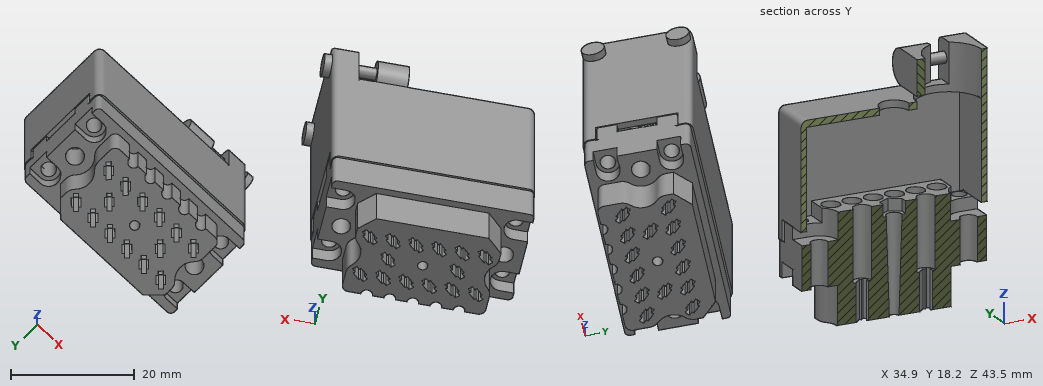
import cadquery as cq
import math


SIDES = (-1, 1)

HOOD_LENGTH = 33.65
HOOD_WIDTH = 18.15
HOOD_BOTTOM = 13.35
HOOD_TOP = 36.25
HOOD_ROUND = 1.25
HOOD_WALL = 1.1
HOOD_ROOF = 1.3
TAB_THICKNESS = 4.35
TAB_TOP = 43.45
JACK_ACCESS_RADIUS = 2.6
WINDOW_WIDTH = 13.65
WINDOW_TOP = 17.05

CABLE_RADIUS = 5.8
CABLE_X = 9.9
CLAMP_LEFT = 4.1
CLAMP_THICKNESS = 5.17
CLAMP_WIDTH = 17.85
CLAMP_HEIGHT = 6.35
CLAMP_HOLLOW_X = 11.35
SCREW_Y = 7.0
SCREW_RADIUS = 1.0
SCREW_HEAD_RADIUS = 1.9
SCREW_HEAD_HEIGHT = 1.25

FLANGE_LENGTH = 33.35
FLANGE_WIDTH = 17.5
FLANGE_BOTTOM = 6.9
FLANGE_ROUND = 0.83
WINDOW_CLEARANCE = 0.17
SHOULDER_WIDTH = WINDOW_WIDTH - 2 * WINDOW_CLEARANCE
SHOULDER_ROUND = 0.35
BLOCK_LENGTH = 23.3
BLOCK_TOP = 19.55
PLUG_LENGTH = 23.75
PLUG_WIDTH = 15.25
PLUG_ROUND = 1.17
PLUG_CHAMFER = 2.55
FLUTE_RADIUS = 0.95
FLUTE_COUNT = 5
KEYWAY_RADIUS = 3.17
KEYWAY_LIP_ROUND = 2.25

MOUNT_X = 13.47
MOUNT_RADIUS = 1.5
MOUNT_POCKET_RADIUS = 3.3
MOUNT_POCKET_FLOOR = 14.78
CORNER_X = 14.3
CORNER_Y = 5.25
CORNER_RADIUS = 1.25
CORNER_POCKET_RADIUS = 1.95
CORNER_POCKET_ROOF = 9.65

COLUMN_PITCH = 3.82
ROW_PITCH = 3.8
COLUMNS = (-2.5, -1.5, -0.5, 0.5, 1.5, 2.5)
FULL_COLUMN = 1.5
CONTACT_RADIUS = 1.6
CONTACT_SQUARE = 1.55
CONTACT_SLOT_LENGTH = 3.05
CONTACT_SLOT_WIDTH = 0.83
CONTACT_ANGLE = 45

JACK_HEX_FLATS = 4.0
JACK_HEX_DEPTH = 2.17
JACK_HEX_TURN = 30
JACK_CONE_RADIUS = 1.4
JACK_HOLE_RADIUS = 0.83

tab_front = HOOD_LENGTH / 2 - TAB_THICKNESS
screw_z = TAB_TOP - CLAMP_HEIGHT / 2


def block(x_range, width, z_range):
    """Box between two X and two Z positions, centred across Y."""
    length = x_range[1] - x_range[0]
    height = z_range[1] - z_range[0]
    return (
        cq.Workplane("XY")
        .box(length, width, height, centered=(False, True, False))
        .translate((x_range[0], 0, z_range[0]))
    )


def centred_block(length, width, z_range):
    """Box centred on the Z axis between two heights."""
    return block((-length / 2, length / 2), width, z_range)


def post(radius, x, y, z_range):
    """Upright cylinder between two heights."""
    height = z_range[1] - z_range[0]
    return cq.Workplane("XY", origin=(x, y, z_range[0])).circle(radius).extrude(height)


def rod(radius, y, x_range):
    """Cylinder along X at the height of the clamp screws."""
    length = x_range[1] - x_range[0]
    return cq.Workplane("YZ", origin=(x_range[0], y, screw_z)).circle(radius).extrude(length)


def end_pocket(end, radius, x, y, z_range):
    """Round-ended pocket that runs out through the -X (end = -1) or +X (end = 1) face of the insert."""
    run = FLANGE_LENGTH / 2 - x
    channel = block((x, x + run), 2 * radius, z_range).translate((0, y, 0))
    pocket = channel.union(post(radius, x, y, z_range))
    return pocket if end > 0 else pocket.mirror("YZ")


def make_hood_shell():
    body = block((-HOOD_LENGTH / 2, tab_front), HOOD_WIDTH, (HOOD_BOTTOM, HOOD_TOP))
    body = body.edges("(|Z and <X) or (>Z and |X) or (>Z and <X)").fillet(HOOD_ROUND)

    tab = block((tab_front, HOOD_LENGTH / 2), HOOD_WIDTH, (HOOD_BOTTOM, TAB_TOP))
    rounded_plan = tab.edges("|Z and >X").fillet(HOOD_ROUND)
    rounded_top = tab.edges("|X and >Z").fillet(HOOD_ROUND)
    body = body.union(rounded_plan.intersect(rounded_top))

    cavity = centred_block(
        HOOD_LENGTH - 2 * HOOD_WALL,
        HOOD_WIDTH - 2 * HOOD_WALL,
        (HOOD_BOTTOM, HOOD_TOP - HOOD_ROOF),
    )
    return body.cut(cavity)


def make_hood():
    hood = make_hood_shell()
    roof_bottom = HOOD_TOP - HOOD_ROOF
    hood = hood.cut(post(CABLE_RADIUS, CABLE_X, 0, (roof_bottom, TAB_TOP)))
    hood = hood.cut(post(JACK_ACCESS_RADIUS, 0, 0, (roof_bottom, HOOD_TOP)))
    hood = hood.cut(centred_block(HOOD_LENGTH, WINDOW_WIDTH, (HOOD_BOTTOM, WINDOW_TOP)))
    for side in SIDES:
        hood = hood.cut(rod(SCREW_RADIUS, side * SCREW_Y, (tab_front, HOOD_LENGTH / 2)))
    return hood


def make_clamp():
    clamp = (
        cq.Workplane("YZ", origin=(CLAMP_LEFT, 0, screw_z))
        .slot2D(CLAMP_WIDTH, CLAMP_HEIGHT)
        .extrude(CLAMP_THICKNESS)
    )
    clamp = clamp.cut(post(CABLE_RADIUS, CLAMP_HOLLOW_X, 0, (TAB_TOP - CLAMP_HEIGHT, TAB_TOP)))
    shank_start = CLAMP_LEFT + CLAMP_THICKNESS / 2
    head_seat = HOOD_LENGTH / 2
    head_end = head_seat + SCREW_HEAD_HEIGHT
    for side in SIDES:
        y = side * SCREW_Y
        clamp = clamp.union(rod(SCREW_RADIUS, y, (shank_start, head_seat)))
        clamp = clamp.union(rod(SCREW_HEAD_RADIUS, y, (head_seat, head_end)))
    return clamp


def make_plug():
    heights = (0, FLANGE_BOTTOM)
    plug = centred_block(PLUG_LENGTH, PLUG_WIDTH, heights)
    plug = plug.edges("|Z and <Y").fillet(PLUG_ROUND)
    plug = plug.edges("|Z and >Y").chamfer(PLUG_CHAMFER)

    for end in SIDES:
        plug = plug.cut(post(KEYWAY_RADIUS, end * MOUNT_X, 0, heights))
    lip_y = math.sqrt(KEYWAY_RADIUS**2 - (MOUNT_X - PLUG_LENGTH / 2) ** 2)
    reach = 0.05
    lips = cq.selectors.BoxSelector(
        (-PLUG_LENGTH / 2 - reach, -lip_y - reach, 0),
        (PLUG_LENGTH / 2 + reach, lip_y + reach, FLANGE_BOTTOM),
    )
    plug = plug.edges("|Z").edges(lips).fillet(KEYWAY_LIP_ROUND)

    for index in range(FLUTE_COUNT):
        flute_x = (index - (FLUTE_COUNT - 1) / 2) * COLUMN_PITCH
        plug = plug.cut(post(FLUTE_RADIUS, flute_x, -PLUG_WIDTH / 2, heights))
    return plug


def contact_cavity(x, y):
    """Round cavity above, with a keyed opening turned about its own axis through the plug."""
    square = centred_block(CONTACT_SQUARE, CONTACT_SQUARE, (0, FLANGE_BOTTOM))
    slot = centred_block(CONTACT_SLOT_LENGTH, CONTACT_SLOT_WIDTH, (0, FLANGE_BOTTOM))
    keyed = square.union(slot).rotate((0, 0, 0), (0, 0, 1), CONTACT_ANGLE).translate((x, y, 0))
    return keyed.union(post(CONTACT_RADIUS, x, y, (FLANGE_BOTTOM, BLOCK_TOP)))


def cut_contacts(insert):
    for column in COLUMNS:
        rows = (-1, 0, 1) if abs(column) == FULL_COLUMN else (-1, 1)
        for row in rows:
            insert = insert.cut(contact_cavity(column * COLUMN_PITCH, row * ROW_PITCH))
    return insert


def cut_mounting_holes(insert):
    for end in SIDES:
        insert = insert.cut(post(MOUNT_RADIUS, end * MOUNT_X, 0, (FLANGE_BOTTOM, WINDOW_TOP)))
        upper_heights = (MOUNT_POCKET_FLOOR, BLOCK_TOP)
        insert = insert.cut(end_pocket(end, MOUNT_POCKET_RADIUS, MOUNT_X, 0, upper_heights))
        for side in SIDES:
            y = side * CORNER_Y
            insert = insert.cut(post(CORNER_RADIUS, end * CORNER_X, y, (FLANGE_BOTTOM, WINDOW_TOP)))
            lower_heights = (FLANGE_BOTTOM, CORNER_POCKET_ROOF)
            insert = insert.cut(end_pocket(end, CORNER_POCKET_RADIUS, CORNER_X, y, lower_heights))
    return insert


def cut_jackscrew_seat(insert):
    hex_floor = BLOCK_TOP - JACK_HEX_DEPTH
    hex_corners = JACK_HEX_FLATS / math.cos(math.pi / 6)
    hex_recess = (
        cq.Workplane("XY", origin=(0, 0, hex_floor))
        .polygon(6, hex_corners)
        .extrude(JACK_HEX_DEPTH)
        .rotate((0, 0, 0), (0, 0, 1), JACK_HEX_TURN)
    )
    cone = cq.Workplane(cq.Solid.makeCone(JACK_HOLE_RADIUS, JACK_CONE_RADIUS, hex_floor))
    return insert.cut(hex_recess).cut(cone)


def make_insert():
    flange = centred_block(FLANGE_LENGTH, FLANGE_WIDTH, (FLANGE_BOTTOM, HOOD_BOTTOM))
    flange = flange.edges("|Z").fillet(FLANGE_ROUND)
    shoulder = centred_block(FLANGE_LENGTH, SHOULDER_WIDTH, (HOOD_BOTTOM, WINDOW_TOP))
    shoulder = shoulder.edges("|Z").fillet(SHOULDER_ROUND)
    contact_block = centred_block(BLOCK_LENGTH, SHOULDER_WIDTH, (WINDOW_TOP, BLOCK_TOP))
    insert = flange.union(shoulder).union(contact_block).union(make_plug())
    insert = cut_contacts(insert)
    insert = cut_mounting_holes(insert)
    return cut_jackscrew_seat(insert)


hood = make_hood()
clamp = make_clamp()
insert = make_insert()

result = cq.Compound.makeCompound([hood.solids().val(), clamp.solids().val(), insert.solids().val()])